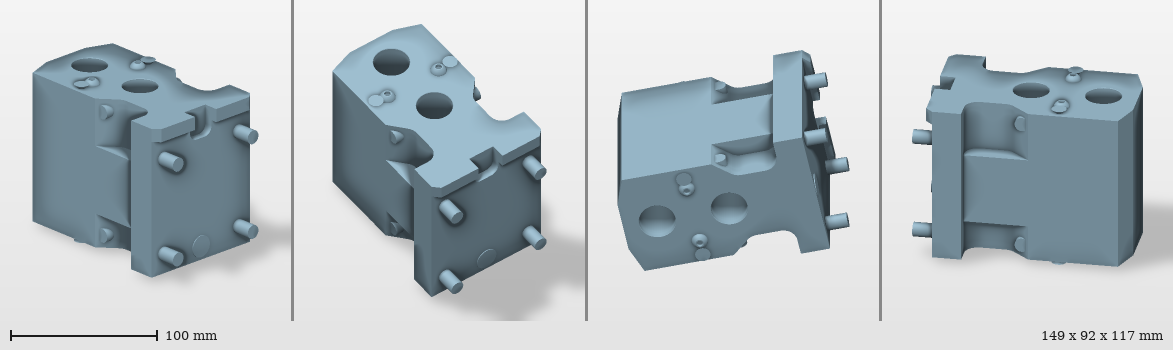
import cadquery as cq
import math

overall_length = 149.0
overall_width = 92.0
overall_height = 117.0
body_height = 110.0
half_width = 37.5
front_half_width = 18.0
front_bevel_length = 7.0

flange_half_width = overall_width / 2
flange_start = 114.0
flange_end = 134.2
lip_end = 139.0
lip_height = 9.7
lip_chamfer = lip_end - flange_end

pocket_start = 69.1
pocket_floor = 24.9
pocket_radius = 9.7
pocket_slope = 41.0
tab_bottom = 25.0
tab_top = 75.0

bore_diameter = 25.0
bore_chamfer = 0.3
front_bore_x = 23.8
rear_bore_x = 73.9

slot_start = 128.1
slot_width = 20.0
slot_depth = 20.0
slot_fillet = 6.0

pin_diameter = 10.0
pin_y = 35.0
pin_levels = (14.9, 85.0)
disc_diameter = 16.0
disc_thickness = 0.6
disc_z = 10.0

screw_x = 48.9
dome_y = 21.5
dome_radius = 5.7
dome_top_radius = 3.0
dome_height = (overall_height - body_height) / 2
socket_radius = 2.2
socket_depth = 2.2
cone_y = 31.1
cone_top_radius = 5.2
cone_height = 2.7

plug_diameter = 10.0
plug_end = 35.5
plug_inset = 9.4


def make_block():
    half_outline = [
        (0, 0),
        (0, front_half_width),
        (front_bevel_length, half_width),
        (flange_start, half_width),
        (flange_start, flange_half_width),
        (flange_end, flange_half_width),
        (flange_end, 0),
    ]
    half_block = cq.Workplane("XY").polyline(half_outline).close().extrude(body_height)
    return half_block.mirror("XZ", union=True)


def make_lip():
    chamfered_half_width = flange_half_width - lip_chamfer
    outline = [
        (flange_end, -flange_half_width),
        (lip_end, -chamfered_half_width),
        (lip_end, chamfered_half_width),
        (flange_end, flange_half_width),
    ]
    return (
        cq.Workplane("XY", origin=(0, 0, body_height - lip_height))
        .polyline(outline)
        .close()
        .extrude(lip_height)
    )


def make_pocket(bottom, top):
    """Pocket cutter on the +Y side between two levels."""
    slope_length = (half_width - pocket_floor) / math.tan(math.radians(pocket_slope))
    outline = [
        (pocket_start, half_width),
        (pocket_start + slope_length, pocket_floor),
        (flange_start, pocket_floor),
        (flange_start, half_width),
    ]
    cutter = cq.Workplane("XY", origin=(0, 0, bottom)).polyline(outline).close().extrude(top - bottom)
    floor_corners = cutter.faces("<Y").edges("|Z")
    return floor_corners.fillet(pocket_radius)


def make_slot():
    slot_length = lip_end - slot_start
    return (
        cq.Workplane("XY", origin=(slot_start, 0, body_height - slot_depth))
        .box(slot_length, slot_width, slot_depth, centered=(False, True, False))
        .edges("|X and <Z")
        .fillet(slot_fillet)
    )


def make_bore(x):
    """Through bore cutter that flares at both ends to leave a small chamfer."""
    radius = bore_diameter / 2
    rim_radius = radius + bore_chamfer
    outline = [
        (0, 0),
        (rim_radius, 0),
        (radius, bore_chamfer),
        (radius, body_height - bore_chamfer),
        (rim_radius, body_height),
        (0, body_height),
    ]
    cutter = cq.Workplane("XZ").polyline(outline).close().revolve(360, (0, 0), (0, 1))
    return cutter.translate((x, 0, 0))


def make_dome_screw():
    """Button-head screw standing on Z = 0, with a round socket."""
    centre_z = (dome_top_radius**2 + dome_height**2 - dome_radius**2) / (2 * dome_height)
    sphere_radius = math.hypot(dome_radius, centre_z)
    mid_z = dome_height / 2
    mid_radius = math.sqrt(sphere_radius**2 - (mid_z - centre_z) ** 2)
    head = (
        cq.Workplane("XZ")
        .lineTo(dome_radius, 0)
        .threePointArc((mid_radius, mid_z), (dome_top_radius, dome_height))
        .lineTo(0, dome_height)
        .close()
        .revolve(360, (0, 0), (0, 1))
    )
    socket_diameter = 2 * socket_radius
    return head.faces(">Z").workplane().hole(socket_diameter, socket_depth)


def make_cone_screw():
    """45 degree countersunk head standing on its narrow end at Z = 0."""
    base_radius = cone_top_radius - cone_height
    outline = [(0, 0), (base_radius, 0), (cone_top_radius, cone_height), (0, cone_height)]
    return cq.Workplane("XZ").polyline(outline).close().revolve(360, (0, 0), (0, 1))


def make_pin(y, z):
    return (
        cq.Workplane("YZ", origin=(flange_end, y, z))
        .circle(pin_diameter / 2)
        .extrude(overall_length - flange_end)
    )


def make_plug(z):
    """Plug on the +Y side, rooted at the depth of the pocket floor."""
    return (
        cq.Workplane("XZ", origin=(rear_bore_x, plug_end, z))
        .circle(plug_diameter / 2)
        .extrude(plug_end - pocket_floor)
    )


body = make_block().union(make_lip())

for bottom, top in ((0, tab_bottom), (tab_top, body_height)):
    pocket = make_pocket(bottom, top)
    body = body.cut(pocket).cut(pocket.mirror("XZ"))

for z in (plug_inset, body_height - plug_inset):
    plug = make_plug(z)
    body = body.union(plug).union(plug.mirror("XZ"))

body = body.cut(make_slot())

for x in (front_bore_x, rear_bore_x):
    body = body.cut(make_bore(x))

for head, offset in ((make_dome_screw(), dome_y), (make_cone_screw(), cone_y)):
    for y in (-offset, offset):
        top_head = head.translate((screw_x, y, body_height))
        bottom_head = head.mirror("XY").translate((screw_x, y, 0))
        body = body.union(top_head).union(bottom_head)

for y in (-pin_y, pin_y):
    for z in pin_levels:
        body = body.union(make_pin(y, z))

disc = (
    cq.Workplane("YZ", origin=(flange_end, 0, disc_z))
    .circle(disc_diameter / 2)
    .extrude(disc_thickness)
)

result = body.union(disc)